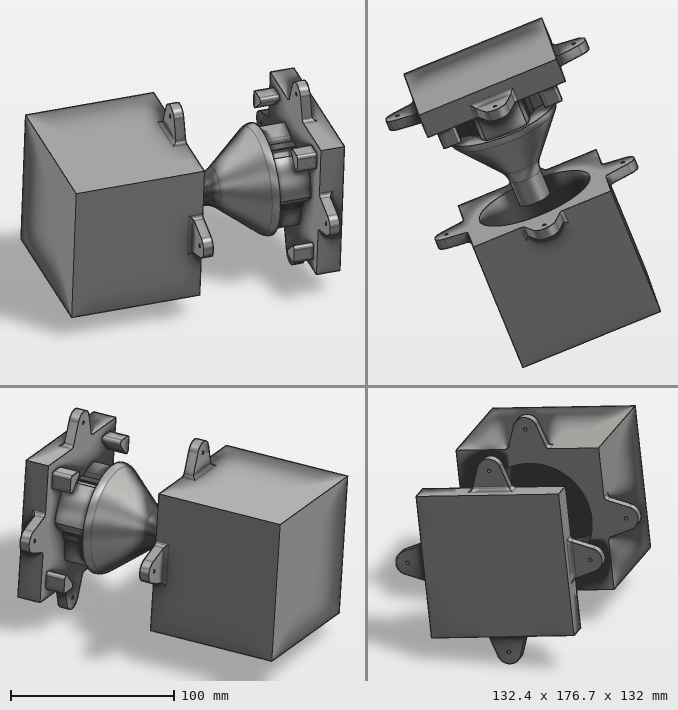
import cadquery as cq
import math


side = 91.2

tab_count = 4
tab_thickness = 6.4
tab_reach = 58.4
tab_tip_radius = 7.6
tab_base_half_width = 12.4
tab_hole_diameter = 2.1
tab_root_fillet = 2.7

hub_length = 21.2
lobe_radius = 31.8
flange_radius = 35.2
tube_radius = 10.0
cone_angle = math.radians(38.5)
rim_rounding = 7.6
throat_rounding = 12.5
plug_length = 76.0

valley_count = 3
valley_mouth_half_width = 18.2
valley_middle = (7.6, 23.0)
valley_bottom = (3.0, 21.2)
valley_shoulder_radius = 21.2
valley_root_radius = 8.5
ridge_height = 0.7

peg_count = 4
peg_corner = 39.3
peg_leg = 14.7
peg_length = 12.7
peg_rounding = 2.1

cover_thickness = 15.4
housing_length = 83.6
bore_radius = 36.5

tilt_x = 0.43
tilt_y = 6.3
tilt_z = 0.72


def plane_at(distance):
    """Sketch plane across the axis whose normal points toward -Y."""
    return cq.Workplane("XZ", origin=(0, -distance, 0))


def turned(shape, angle):
    """Turn a shape about the plug axis."""
    return shape.rotate((0, 0, 0), (0, 1, 0), angle)


def square_block(start, length):
    return plane_at(start).rect(side, side).extrude(length)


def tab(start):
    """One tapered tab with a round tip, reaching up from the top side of the square."""
    base_z = side / 2
    height = tab_reach - base_z
    corner_distance = math.hypot(height, tab_base_half_width)
    taper = math.acos(tab_tip_radius / corner_distance) - math.atan2(height, tab_base_half_width)
    touch_x = tab_tip_radius * math.cos(taper)
    touch_z = tab_reach + tab_tip_radius * math.sin(taper)
    return (
        plane_at(start)
        .moveTo(-tab_base_half_width, 0)
        .lineTo(-tab_base_half_width, base_z)
        .lineTo(-touch_x, touch_z)
        .threePointArc((0, tab_reach + tab_tip_radius), (touch_x, touch_z))
        .lineTo(tab_base_half_width, base_z)
        .lineTo(tab_base_half_width, 0)
        .close()
        .moveTo(0, tab_reach)
        .circle(tab_hole_diameter / 2)
        .extrude(tab_thickness)
    )


def tab_root_box(flush_y):
    """Selector for the three edges where the top tab meets the square, none of them at flush_y."""
    margin = 0.2
    half_width = tab_base_half_width + margin
    return cq.selectors.BoxSelector(
        (-half_width, flush_y - tab_thickness - margin, side / 2 - margin),
        (half_width, flush_y + tab_thickness + margin, side / 2 + margin),
    )


def add_tabs(block, tab_start, flush_y):
    """Add four tabs flush with the block end at flush_y and fillet their roots."""
    step = 360 / tab_count
    for _ in range(tab_count):
        block = block.union(tab(tab_start))
        block = block.edges(tab_root_box(flush_y)).fillet(tab_root_fillet)
        block = turned(block, step)
    return block


def hub_valley():
    """Cutter for the valley on top of the hub, with a low flat ridge along its bottom."""
    middle_x, middle_z = valley_middle
    bottom_x, bottom_z = valley_bottom
    mouth_x = valley_mouth_half_width
    mouth_z = math.sqrt(lobe_radius**2 - mouth_x**2)
    return (
        plane_at(0)
        .moveTo(-mouth_x, lobe_radius)
        .lineTo(-mouth_x, mouth_z)
        .radiusArc((-middle_x, middle_z), valley_shoulder_radius)
        .radiusArc((-bottom_x, bottom_z), -valley_root_radius)
        .lineTo(-bottom_x, bottom_z + ridge_height)
        .lineTo(bottom_x, bottom_z + ridge_height)
        .lineTo(bottom_x, bottom_z)
        .radiusArc((middle_x, middle_z), -valley_root_radius)
        .radiusArc((mouth_x, mouth_z), valley_shoulder_radius)
        .lineTo(mouth_x, lobe_radius)
        .close()
        .extrude(hub_length)
    )


def hub():
    body = plane_at(0).circle(lobe_radius).extrude(hub_length)
    for i in range(valley_count):
        body = body.cut(turned(hub_valley(), i * 360 / valley_count))
    return body


def funnel():
    """Flange, cone and tube as one revolved profile with tangent roundings."""
    def drop(radius, angle):
        return radius * (1 - math.cos(angle))

    def run(radius, angle):
        return radius * math.sin(angle)

    rim_end_r = flange_radius - drop(rim_rounding, cone_angle)
    rim_end_y = -hub_length - run(rim_rounding, cone_angle)
    rim_mid_r = flange_radius - drop(rim_rounding, cone_angle / 2)
    rim_mid_y = -hub_length - run(rim_rounding, cone_angle / 2)

    cone_end_r = tube_radius + drop(throat_rounding, cone_angle)
    cone_end_y = rim_end_y - (rim_end_r - cone_end_r) / math.tan(cone_angle)
    tube_start_y = cone_end_y - run(throat_rounding, cone_angle)
    throat_mid_r = tube_radius + drop(throat_rounding, cone_angle / 2)
    throat_mid_y = tube_start_y + run(throat_rounding, cone_angle / 2)

    return (
        cq.Workplane("XY")
        .moveTo(0, -hub_length)
        .lineTo(flange_radius, -hub_length)
        .threePointArc((rim_mid_r, rim_mid_y), (rim_end_r, rim_end_y))
        .lineTo(cone_end_r, cone_end_y)
        .threePointArc((throat_mid_r, throat_mid_y), (tube_radius, tube_start_y))
        .lineTo(tube_radius, -plug_length)
        .lineTo(0, -plug_length)
        .close()
        .revolve(360, (0, 0, 0), (0, 1, 0))
    )


def corner_peg():
    """Triangular peg in the upper +X corner, with rounded edges along its length."""
    return (
        plane_at(0)
        .moveTo(peg_corner, peg_corner)
        .lineTo(peg_corner - peg_leg, peg_corner)
        .lineTo(peg_corner, peg_corner - peg_leg)
        .close()
        .extrude(peg_length)
        .edges("|Y")
        .fillet(peg_rounding)
    )


def make_cover():
    """Tabbed cover plate carrying the corner pegs and the plug."""
    body = add_tabs(square_block(-cover_thickness, cover_thickness), -tab_thickness, 0)
    for i in range(peg_count):
        body = body.union(turned(corner_peg(), i * 360 / peg_count))
    return body.union(hub()).union(funnel())


def make_housing():
    """Tabbed block with a round blind bore that takes the plug."""
    body = add_tabs(square_block(plug_length, housing_length), plug_length, -plug_length)
    return body.cut(plane_at(plug_length).circle(bore_radius).extrude(plug_length))


def tilted(body):
    origin = (0, 0, 0)
    return (
        body.rotate(origin, (0, 1, 0), tilt_y)
        .rotate(origin, (1, 0, 0), tilt_x)
        .rotate(origin, (0, 0, 1), tilt_z)
    )


cover = tilted(make_cover())
housing = tilted(make_housing())
result = cq.Compound.makeCompound([cover.val(), housing.val()])